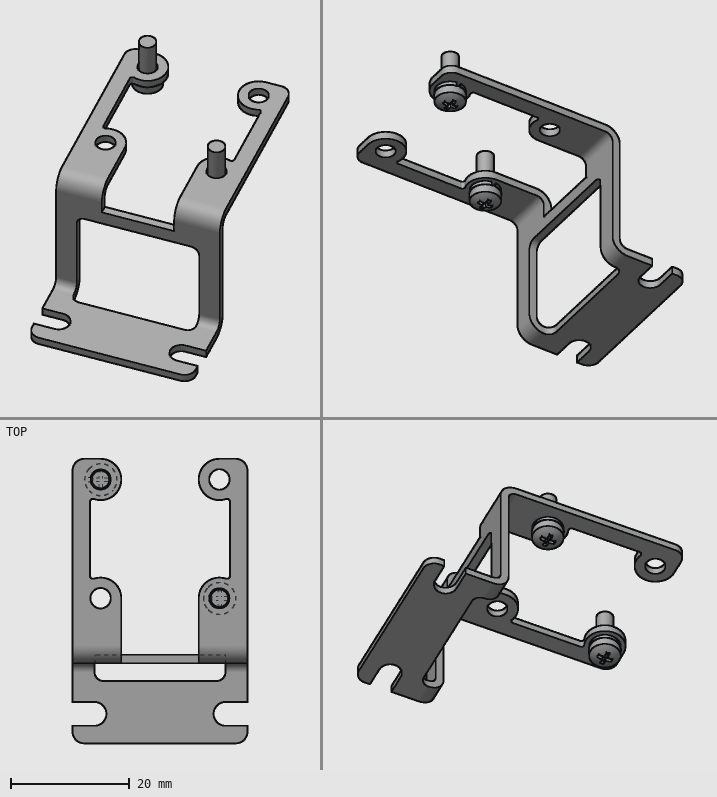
import cadquery as cq
import math

bracket_width = 29.5
bracket_length = 48.0
bracket_height = 26.0
half_width = bracket_width / 2

sheet = 1.5
bend_inner = 1.5
bend_outer = bend_inner + sheet
wall_front = 13.5
wall_back = wall_front + sheet
corner_radius = 2.0
cut_size = 2 * bracket_length

hole_diameter = 3.4
hole_pitch = 20.0
lug_radius = 3.5
strip_width = 3.0
lug_fillet = 0.5
hole_x = hole_pitch / 2
back_hole_y = bracket_length - lug_radius
front_hole_y = back_hole_y - hole_pitch
lug_inner_x = hole_x - lug_radius
strip_inner_x = half_width - strip_width

crossbar_top = 20.7
crossbar_height = 2.6
leg_width = 3.75
window_front = 10.55
window_radius = 1.5
window_width = bracket_width - 2 * leg_width
window_top = crossbar_top - crossbar_height

slot_width = 4.0
slot_depth = 5.7
slot_y = 5.0

screw_diameter = 3.0
screw_top = 31.8
head_diameter = 5.45
dome_diameter = 5.35
head_side = 1.55
head_dome = 0.85
recess_length = 2.6
recess_width = 0.6
recess_depth = 0.95
washer_diameter = 5.35
washer_thickness = 0.75
washer_gap = 0.8
arm_underside = bracket_height - sheet
washer_bottom = arm_underside - washer_thickness
hole_points = [(x, y) for x in (-hole_x, hole_x) for y in (front_hole_y, back_hole_y)]
screw_points = [(-hole_x, back_hole_y), (hole_x, front_hole_y)]


def box(x_min, x_max, y_min, y_max, z_min, z_max):
    size = (x_max - x_min, y_max - y_min, z_max - z_min)
    return cq.Workplane("XY").box(*size, centered=False).translate((x_min, y_min, z_min))


def folded_sheet():
    """Z-shaped strip: base, upright wall and arms before any cutting."""
    diagonal = math.sqrt(0.5)
    base_bend = wall_front - bend_inner
    arm_bend = wall_back + bend_inner
    low = bend_outer
    high = bracket_height - bend_outer
    inner = bend_inner * diagonal
    outer = bend_outer * diagonal
    profile = (
        cq.Workplane("YZ", origin=(-half_width, 0, 0))
        .moveTo(0, 0)
        .lineTo(base_bend, 0)
        .threePointArc((base_bend + outer, low - outer), (wall_back, low))
        .lineTo(wall_back, high)
        .threePointArc((arm_bend - inner, high + inner), (arm_bend, arm_underside))
        .lineTo(bracket_length, arm_underside)
        .lineTo(bracket_length, bracket_height)
        .lineTo(arm_bend, bracket_height)
        .threePointArc((arm_bend - outer, high + outer), (wall_front, high))
        .lineTo(wall_front, low)
        .threePointArc((base_bend + inner, low - inner), (base_bend, sheet))
        .lineTo(0, sheet)
        .close()
    )
    return profile.extrude(bracket_width)


def arm_gap():
    """Space between the arms above the crossbar, rounded around the four lugs."""

    def span(half, y_min, y_max):
        return box(-half, half, y_min, y_max, crossbar_top, cut_size)

    lugs = (
        cq.Workplane("XY", origin=(0, 0, crossbar_top))
        .pushPoints(hole_points)
        .circle(lug_radius)
        .extrude(cut_size)
    )
    gap = (
        span(lug_inner_x, 0, bracket_length)
        .union(span(strip_inner_x, front_hole_y, back_hole_y))
        .union(span(hole_x, back_hole_y, bracket_length))
        .cut(lugs)
    )
    return gap.edges("(>X or <X) and |Z").fillet(lug_fillet)


def window():
    """Opening through the upright wall that continues into the base."""
    half = window_width / 2
    opening = box(-half, half, window_front, wall_back, -sheet, window_top)
    opening = opening.edges("|Y and >Z").fillet(window_radius)
    return opening.edges("|Z and <Y").fillet(window_radius)


def mounting_slots():
    """Slots open to both sides of the base with full-round inner ends."""
    return (
        cq.Workplane("XY")
        .pushPoints([(-half_width, slot_y), (half_width, slot_y)])
        .slot2D(2 * slot_depth, slot_width)
        .extrude(sheet)
    )


def make_bracket():
    outline = folded_sheet().edges("|Z and (<Y or >Y)").fillet(corner_radius)
    holes = (
        cq.Workplane("XY", origin=(0, 0, arm_underside))
        .pushPoints(hole_points)
        .circle(hole_diameter / 2)
        .extrude(sheet)
    )
    return outline.cut(arm_gap()).cut(window()).cut(holes).cut(mounting_slots())


def make_screw(x, y):
    """Pan-head screw with a cross recess, head down, passing up through an arm hole."""
    dome_edge = dome_diameter / 2
    dome_start = washer_bottom - head_side
    head_bottom = dome_start - head_dome
    dome_radius = (dome_edge**2 + head_dome**2) / (2 * head_dome)
    dome_mid_x = dome_edge / 2
    dome_mid_z = head_bottom + dome_radius - math.sqrt(dome_radius**2 - dome_mid_x**2)
    profile = (
        cq.Workplane("XZ")
        .moveTo(0, screw_top)
        .lineTo(screw_diameter / 2, screw_top)
        .lineTo(screw_diameter / 2, washer_bottom)
        .lineTo(head_diameter / 2, washer_bottom)
        .lineTo(dome_edge, dome_start)
        .threePointArc((dome_mid_x, dome_mid_z), (0, head_bottom))
        .close()
    )
    recess = (
        cq.Workplane("XY", origin=(0, 0, head_bottom))
        .rect(recess_length, recess_width)
        .extrude(recess_depth)
    )
    recess = recess.union(recess.rotate((0, 0, 0), (0, 0, 1), 90))
    return profile.revolve(360, (0, 0, 0), (0, 1, 0)).cut(recess).translate((x, y, 0))


def make_washer(x, y):
    """Split lock washer between screw head and arm, its gap facing -X."""
    ring = (
        cq.Workplane("XY", origin=(0, 0, washer_bottom))
        .circle(washer_diameter / 2)
        .circle(screw_diameter / 2)
        .extrude(washer_thickness)
    )
    gap = box(-washer_diameter, 0, -washer_gap / 2, washer_gap / 2, washer_bottom, arm_underside)
    return ring.cut(gap).translate((x, y, 0))


bracket = make_bracket()
screws = [make_screw(x, y) for x, y in screw_points]
washers = [make_washer(x, y) for x, y in screw_points]

result = cq.Compound.makeCompound(
    [bracket.val(), *[screw.val() for screw in screws], *[washer.val() for washer in washers]]
)